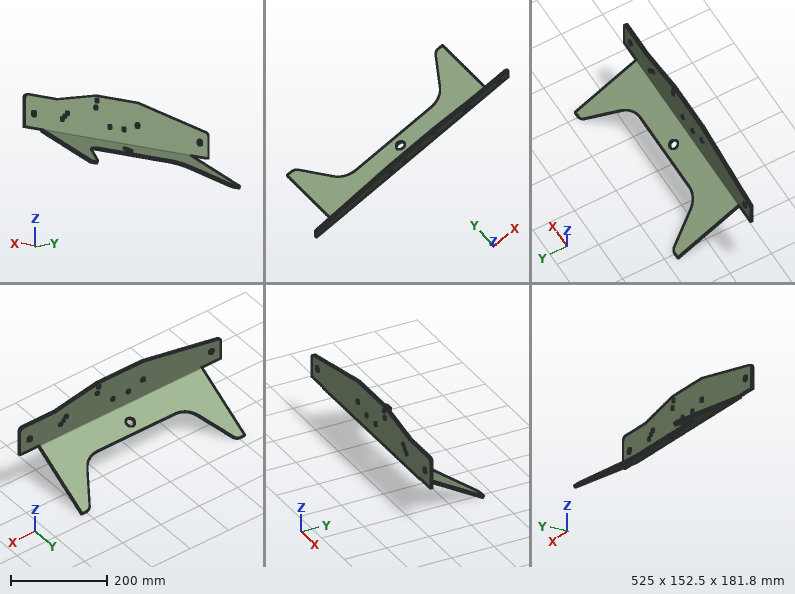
import cadquery as cq
import math

sheet = 5.0
inner_radius = 0.5
outer_radius = inner_radius + sheet
bend_angle = 60
flap_slope = 90 - bend_angle

plate_length = 525
half_length = plate_length / 2
plate_height = 92.0
left_height = 53.0
right_height = 70.0
crest_left = -60.0
crest_right = 59.0
shoulder_x = 170.5
left_corner_radius = 8.0
right_corner_radius = 10.0
profile_radius = 10.0

mount_diameter = 12.0
mount_z = 30.5
pair_diameter = 8.5
row_diameter = 8.0
plate_holes = [
    (-238.0, mount_z, mount_diameter),
    (236.5, mount_z, mount_diameter),
    (-59.5, 43.5, 10.0),
    (-21.0, mount_z, pair_diameter),
    (19.5, mount_z, pair_diameter),
    (56.0, 81.5, pair_diameter),
    (60.0, 66.0, pair_diameter),
    (141.0, 43.5, row_diameter),
    (148.0, 37.0, 7.0),
    (156.0, 29.5, row_diameter),
]

flap_width = 425
flap_center = -0.5
flap_length = 170.0
web_length = 63.5
tip_half = 192.0
arm_edge_angle = 60
notch_half = tip_half - (flap_length - web_length) / math.tan(math.radians(arm_edge_angle))
tip_radius = 15.0
notch_radius = 50.0
flap_hole_diameter = 20.0
flap_hole_distance = 38.5


def round_corner(body, point, radius):
    """Fillet the edge whose middle lies at the given point."""
    return body.edges(cq.selectors.NearestToPointSelector(point)).fillet(radius)


def make_plate():
    plate = (
        cq.Workplane("XZ")
        .moveTo(-half_length, 0)
        .lineTo(half_length, 0)
        .lineTo(half_length, right_height)
        .lineTo(shoulder_x, right_height)
        .lineTo(crest_right, plate_height)
        .lineTo(crest_left, plate_height)
        .lineTo(-half_length, left_height)
        .close()
        .extrude(-sheet)
    )
    corners = [
        (half_length, right_height, right_corner_radius),
        (shoulder_x, right_height, profile_radius),
        (crest_right, plate_height, profile_radius),
        (crest_left, plate_height, profile_radius),
        (-half_length, left_height, left_corner_radius),
    ]
    for x, z, radius in corners:
        plate = round_corner(plate, (x, sheet / 2, z), radius)
    for x, z, diameter in plate_holes:
        hole = cq.Workplane("XZ").center(x, z).circle(diameter / 2).extrude(-sheet)
        plate = plate.cut(hole)
    return plate


def bend_point(radius, angle):
    """Y and Z of a point on the bend, whose axis is at y = outer_radius, z = 0."""
    turn = math.radians(angle)
    return (outer_radius - radius * math.cos(turn), -radius * math.sin(turn))


def make_bend():
    half_turn = bend_angle / 2
    return (
        cq.Workplane("YZ", origin=(flap_center - flap_width / 2, 0, 0))
        .moveTo(*bend_point(outer_radius, 0))
        .threePointArc(bend_point(outer_radius, half_turn), bend_point(outer_radius, bend_angle))
        .lineTo(*bend_point(inner_radius, bend_angle))
        .threePointArc(bend_point(inner_radius, half_turn), bend_point(inner_radius, 0))
        .close()
        .extrude(flap_width)
    )


def make_flap():
    blank = (
        cq.Workplane("XY")
        .rect(flap_width, flap_length)
        .extrude(-sheet)
        .translate((0, flap_length / 2, 0))
    )
    notch = (
        cq.Workplane("XY")
        .polyline([
            (-notch_half, web_length),
            (notch_half, web_length),
            (tip_half, flap_length),
            (-tip_half, flap_length),
        ])
        .close()
        .extrude(-sheet)
    )
    flap = blank.cut(notch)
    for side in (-1, 1):
        flap = round_corner(flap, (side * notch_half, web_length, -sheet / 2), notch_radius)
        flap = round_corner(flap, (side * tip_half, flap_length, -sheet / 2), tip_radius)
    hole = cq.Workplane("XY").center(0, flap_hole_distance).circle(flap_hole_diameter / 2).extrude(-sheet)
    flap = flap.cut(hole)
    bend_end_y, bend_end_z = bend_point(inner_radius, bend_angle)
    return (
        flap.rotate((0, 0, 0), (1, 0, 0), -flap_slope)
        .translate((flap_center, bend_end_y, bend_end_z))
    )


result = make_plate().union(make_bend()).union(make_flap())